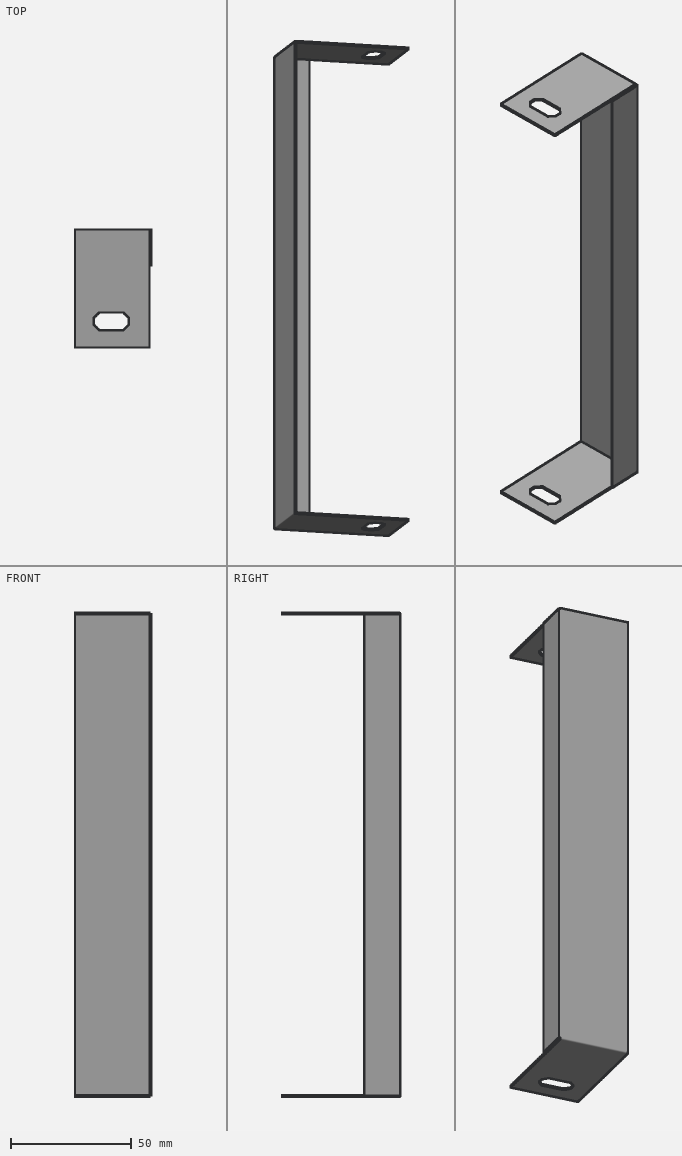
import cadquery as cq

width = 31.9
depth = 49.2
height = 201.5
sheet = 0.8
bend_radius = 0.6

lip_depth = 15.1
lip_end_gap = bend_radius

slot_length = 14.5
slot_width = 7.3
slot_corner_chamfer = 2.2
slot_to_left_edge = 7.9
slot_to_front_edge = 7.3

flange_width = width - sheet


def block(size_x, size_y, size_z):
    """Box with its left, back, lower corner at the origin."""
    return cq.Workplane("XY").box(size_x, size_y, size_z, centered=False).translate((0, -size_y, 0))


bracket = block(flange_width, sheet, height)
for flange_bottom in (0, height - sheet):
    flange = block(flange_width, depth, sheet).translate((0, 0, flange_bottom))
    bracket = bracket.union(flange)

bracket = bracket.faces(">Y").edges("|X").fillet(bend_radius)

lip = block(sheet, lip_depth, height - 2 * lip_end_gap).translate((flange_width, 0, lip_end_gap))

slot_cutter = (
    block(slot_length, slot_width, height)
    .edges("|Z")
    .chamfer(slot_corner_chamfer)
    .translate((slot_to_left_edge, slot_to_front_edge + slot_width - depth, 0))
)

result = bracket.union(lip).cut(slot_cutter)